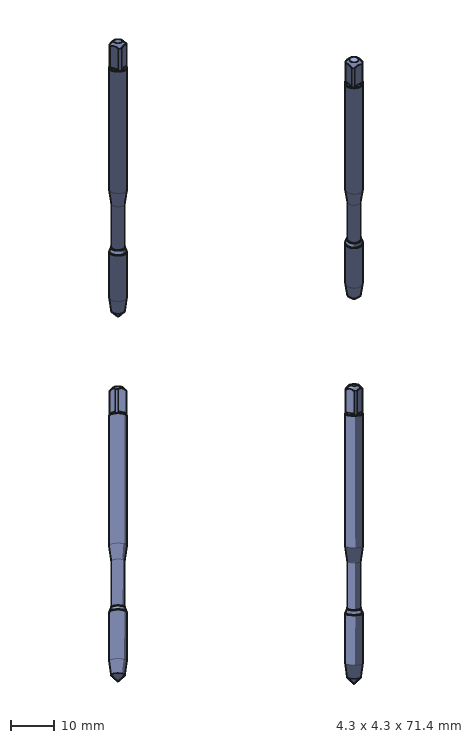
import cadquery as cq

overall_length = 71.4
tip_height = 1.65
lead_end_z = 5.1
head_end_z = 16.85
collar_land_end_z = 17.05
collar_chamfer_end_z = 17.9
collar_end_z = 18.1
neck_end_z = 29.3
shank_start_z = 33.05
flat_start_z = 65.0

tip_diameter = 3.3
head_diameter = 4.2
collar_diameter = 4.1
collar_top_diameter = 3.35
neck_diameter = 3.2
shank_diameter = 4.3
square_corner_diameter = 4.1
square_width = 3.35
top_face_diameter = 2.15

flat_runout = (square_corner_diameter - square_width) / 2
shoulder_top_z = flat_start_z - flat_runout
shoulder_height = 0.2

end_chamfer = (square_corner_diameter - top_face_diameter) / 2


def revolve_profile(stations):
    """Revolve (diameter, z) stations, listed upward, into a solid around Z."""
    bottom_z = stations[0][1]
    top_z = stations[-1][1]
    outline = [(diameter / 2, z) for diameter, z in stations]
    axis_points = [(0, top_z), (0, bottom_z)]
    points = list(dict.fromkeys(outline + axis_points))
    return cq.Workplane("XZ").polyline(points).close().revolve(360, (0, 0), (0, 1))


def make_cutting_head():
    """Cutting end with a pointed tip and a tapered lead."""
    return revolve_profile([
        (0, 0),
        (tip_diameter, tip_height),
        (head_diameter, lead_end_z),
        (head_diameter, head_end_z),
    ])


def cut_drive_square(blank):
    """Mill four flats on the top end, leaving rounded corners and sloped runouts."""
    ring_width = 2 * shank_diameter
    ring = (
        cq.Workplane("XY", origin=(0, 0, shoulder_top_z))
        .rect(ring_width, ring_width)
        .extrude(overall_length - shoulder_top_z)
    )
    square = (
        cq.Workplane("XY", origin=(0, 0, flat_start_z))
        .rect(square_width, square_width)
        .extrude(overall_length - flat_start_z)
    )
    runout = (
        cq.Workplane("XY", origin=(0, 0, shoulder_top_z))
        .rect(square_corner_diameter, square_corner_diameter)
        .workplane(offset=flat_runout)
        .rect(square_width, square_width)
        .loft()
    )
    return blank.cut(ring.cut(square).cut(runout))


def make_shank():
    """Collar, neck, tapered transition and round shank with a drive square on top."""
    blank = revolve_profile([
        (collar_diameter, head_end_z),
        (collar_diameter, collar_land_end_z),
        (collar_top_diameter, collar_chamfer_end_z),
        (collar_top_diameter, collar_end_z),
        (neck_diameter, collar_end_z),
        (neck_diameter, neck_end_z),
        (shank_diameter, shank_start_z),
        (shank_diameter, shoulder_top_z - shoulder_height),
        (square_corner_diameter, shoulder_top_z),
        (square_corner_diameter, overall_length - end_chamfer),
        (top_face_diameter, overall_length),
    ])
    return cut_drive_square(blank)


cutting_head = make_cutting_head()
shank = make_shank()

result = cq.Compound.makeCompound([cutting_head.val(), shank.val()])